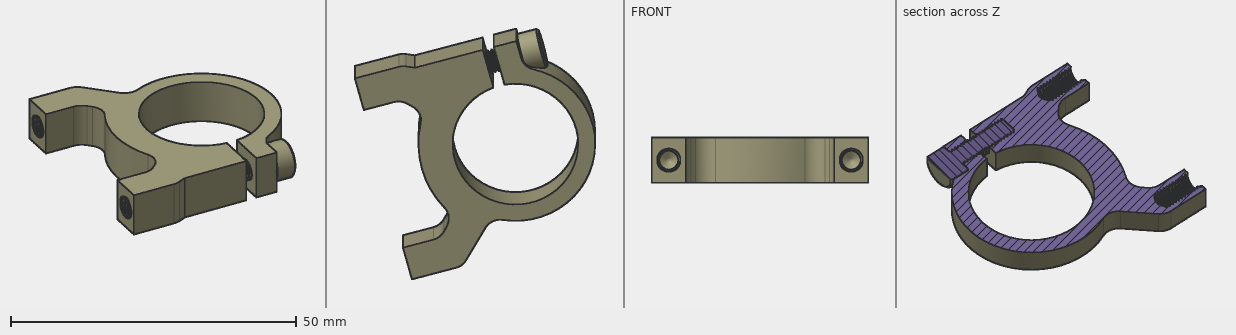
import cadquery as cq
import math

THICKNESS = 8.0
BORE_RADIUS = 11.0
RING_RADIUS = 14.0
BASE_RADIUS = 17.0
BLEND_RADIUS = 3.0
SLOT_WIDTH = 2.0

FOOT_OUTER_X = 19.0
FOOT_WIDTH = 6.0
FOOT_BOTTOM_Y = -24.0
LEG_HALF_WIDTH = FOOT_WIDTH / 2
FOOT_INNER_X = FOOT_OUTER_X - FOOT_WIDTH
FOOT_CENTER_X = FOOT_OUTER_X - FOOT_WIDTH / 2

EAR_X = 18.1
EAR_TOP_Y = 5.1
EAR_SIDE_TAPER = 24.0

THREAD_RADIUS = 2.0
THREAD_PITCH = 0.7
THREAD_ROOT_RADIUS = 1.65
CREST_WIDTH = THREAD_PITCH / 8
RIDGE_BASE_WIDTH = THREAD_PITCH * 0.75
RIDGE_EMBED = 0.1

HEAD_RADIUS = 3.5
HEAD_HEIGHT = 3.9
HEAD_TOP_CHAMFER = 0.3
HEAD_BOTTOM_CHAMFER = 0.2
SCREW_LENGTH = 12.0
SCREW_X = EAR_X - HEAD_RADIUS

TAP_DEPTH = 8.0
DRILL_POINT_ANGLE = 118.0
COUNTERSINK_RADIUS = 2.05

SAME_POINT = 1e-6
MID_Z = THICKNESS / 2


def polar(center, radius, angle):
    """Point on a circle; the angle is in degrees from +X."""
    a = math.radians(angle)
    return (center[0] + radius * math.cos(a), center[1] + radius * math.sin(a))


def outline_with_arcs(start, steps):
    """Closed outline; a step is a corner (x, y) or an arc (center, radius, from, to)."""
    path = cq.Workplane("XY").moveTo(*start)
    here = start
    for step in steps:
        if len(step) == 2:
            path = path.lineTo(*step)
            here = step
            continue
        center, radius, first, last = step
        arc_start = polar(center, radius, first)
        if math.dist(arc_start, here) > SAME_POINT:
            path = path.lineTo(*arc_start)
        here = polar(center, radius, last)
        path = path.threePointArc(polar(center, radius, (first + last) / 2), here)
    return path.close()


def clamp_plate():
    """Ring, ear and two legs, before any drilling."""
    origin = (0, 0)
    void_offset = LEG_HALF_WIDTH + BLEND_RADIUS

    ring_turn = math.degrees(math.asin(void_offset / (RING_RADIUS + BLEND_RADIUS)))
    base_turn = math.degrees(math.asin(void_offset / (BASE_RADIUS + BLEND_RADIUS)))
    left_leg = 225
    right_leg = 315
    ring_left = left_leg - ring_turn
    base_left = left_leg + base_turn
    base_right = right_leg - base_turn

    ear_angle = math.degrees(math.asin((EAR_TOP_Y + BLEND_RADIUS) / (RING_RADIUS + BLEND_RADIUS)))

    ring_blend = polar(origin, RING_RADIUS + BLEND_RADIUS, ring_left)
    ear_blend = polar(origin, RING_RADIUS + BLEND_RADIUS, ear_angle)
    base_left_blend = polar(origin, BASE_RADIUS + BLEND_RADIUS, base_left)
    base_right_blend = polar(origin, BASE_RADIUS + BLEND_RADIUS, base_right)
    knee_x = FOOT_OUTER_X - BLEND_RADIUS
    inner_knee_x = FOOT_INNER_X - BLEND_RADIUS
    inner_knee_y = -inner_knee_x - void_offset * math.sqrt(2)

    taper = math.radians(EAR_SIDE_TAPER)
    ear_foot_y = -knee_x + (BLEND_RADIUS - (EAR_X - knee_x) * math.cos(taper)) / math.sin(taper)

    steps = [
        ((-knee_x, -knee_x), BLEND_RADIUS, 180, 135),
        (ring_blend, BLEND_RADIUS, -45, ring_left - 180),
        (origin, RING_RADIUS, ring_left, ear_angle),
        (ear_blend, BLEND_RADIUS, ear_angle + 180, 270),
        (EAR_X, EAR_TOP_Y),
        (EAR_X, ear_foot_y),
        ((knee_x, -knee_x), BLEND_RADIUS, EAR_SIDE_TAPER, 0),
        (FOOT_OUTER_X, FOOT_BOTTOM_Y),
        (FOOT_INNER_X, FOOT_BOTTOM_Y),
        ((inner_knee_x, inner_knee_y), BLEND_RADIUS, 0, 45),
        (base_right_blend, BLEND_RADIUS, 45, base_right - 180),
        (origin, BASE_RADIUS, base_right, base_left),
        (base_left_blend, BLEND_RADIUS, base_left - 180, 135),
        ((-inner_knee_x, inner_knee_y), BLEND_RADIUS, 135, 180),
        (-FOOT_INNER_X, FOOT_BOTTOM_Y),
    ]
    return outline_with_arcs((-FOOT_OUTER_X, FOOT_BOTTOM_Y), steps).extrude(THICKNESS)


def threaded_rod(length):
    """Right-handed threaded rod along +Z from the origin, cut square at both ends."""
    ridge_start = -THREAD_PITCH
    core_start = -3 * THREAD_PITCH
    core = (
        cq.Workplane("XY")
        .workplane(offset=core_start)
        .circle(THREAD_ROOT_RADIUS)
        .extrude(length - 2 * core_start)
    )
    foot_radius = THREAD_ROOT_RADIUS - RIDGE_EMBED
    helix = cq.Wire.makeHelix(THREAD_PITCH, length - 2 * ridge_start, foot_radius)
    ridge = (
        cq.Workplane("XZ")
        .polyline([
            (foot_radius, -RIDGE_BASE_WIDTH / 2),
            (THREAD_RADIUS, -CREST_WIDTH / 2),
            (THREAD_RADIUS, CREST_WIDTH / 2),
            (foot_radius, RIDGE_BASE_WIDTH / 2),
        ])
        .close()
        .sweep(cq.Workplane(obj=helix), isFrenet=True)
        .translate((0, 0, ridge_start))
    )
    envelope = cq.Workplane("XY").circle(2 * THREAD_RADIUS).extrude(length)
    return core.union(ridge).intersect(envelope)


def clamp_screw():
    """Cap screw pointing down -Y, head seated on the ear."""
    head = cq.Workplane("XY").circle(HEAD_RADIUS).extrude(-HEAD_HEIGHT)
    head = head.faces("<Z").chamfer(HEAD_TOP_CHAMFER)
    head = head.faces(">Z").chamfer(HEAD_BOTTOM_CHAMFER)
    screw = head.union(threaded_rod(SCREW_LENGTH))
    return screw.rotate((0, 0, 0), (1, 0, 0), 90).translate((SCREW_X, EAR_TOP_Y, MID_Z))


def foot_tap():
    """Cutter for the threaded, drill-pointed hole that enters a foot along +Y."""
    point_depth = THREAD_ROOT_RADIUS / math.tan(math.radians(DRILL_POINT_ANGLE / 2))
    point = cq.Workplane(obj=cq.Solid.makeCone(THREAD_ROOT_RADIUS, 0, point_depth))
    cutter = threaded_rod(TAP_DEPTH).union(point.translate((0, 0, TAP_DEPTH)))
    lead_in_depth = COUNTERSINK_RADIUS - THREAD_ROOT_RADIUS
    lead_in = cq.Solid.makeCone(COUNTERSINK_RADIUS, THREAD_ROOT_RADIUS, lead_in_depth)
    cutter = cutter.union(cq.Workplane(obj=lead_in))
    return cutter.rotate((0, 0, 0), (1, 0, 0), -90).translate((0, FOOT_BOTTOM_Y, MID_Z))


def clamp_body(screw):
    """Plate with its bore, slot, screw seat, matching screw thread and tapped feet."""
    bore = cq.Workplane("XY").circle(BORE_RADIUS).extrude(THICKNESS)
    slot = cq.Workplane("XY").rect(EAR_X, SLOT_WIDTH).extrude(THICKNESS).translate((EAR_X / 2, 0, 0))

    recess = (
        cq.Workplane("XZ", origin=(SCREW_X, EAR_TOP_Y, MID_Z))
        .circle(HEAD_RADIUS)
        .extrude(-RING_RADIUS)
    )
    body = clamp_plate().cut(bore).cut(slot).cut(recess).cut(screw)
    tap = foot_tap()
    for side in (-1, 1):
        body = body.cut(tap.translate((side * FOOT_CENTER_X, 0, 0)))
    return body


screw = clamp_screw()
body = clamp_body(screw)

result = cq.Compound.makeCompound([*body.solids().vals(), *screw.solids().vals()])